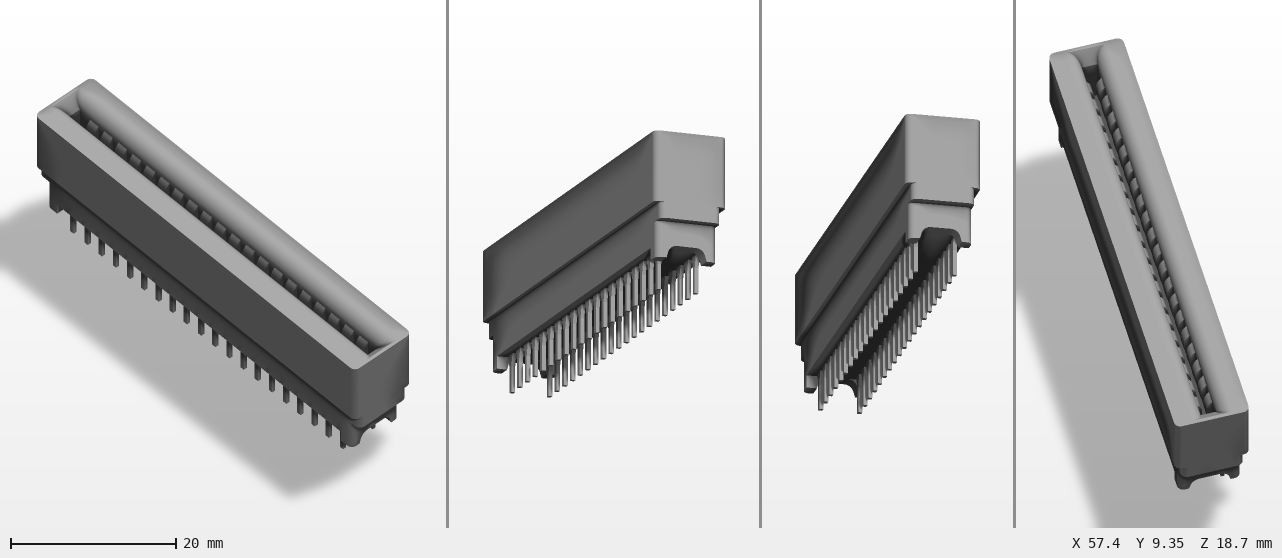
import cadquery as cq
import math


length = 57.4
width = 9.35
overall_height = 18.67
shoulder_depth = 8.86
end_step_depth = 10.92
underside_depth = 13.88
leg_depth = 15.45

lower_width = 7.85
base_end_inset = 1.4
corner_radius = 0.8
leg_end_inset = 3.3

arch_top_width = 4.3
arch_foot_width = 5.2
arch_radius = 1.2

mouth_end_wall = 0.45
throat_end_wall = 2.0
mouth_width = 5.06
throat_width = 2.0
slot_depth = 8.0
lip_radius = (mouth_width - throat_width) / 2

contact_count = 20
pitch = 2.54
contact_width = 1.5
contact_reach = 0.72
contact_top_depth = 1.95
contact_radius = 2.2
contact_length = 2.5
contact_embed = 0.7
row_spacing = 4.85
tail_width = 0.6
tail_thickness = 0.5
tail_root_width = 1.4
tail_neck_depth = 15.5
tail_embed = 0.5

top_z = leg_depth
shoulder_z = top_z - shoulder_depth
end_step_z = top_z - end_step_depth
underside_z = top_z - underside_depth
throat_z = top_z - lip_radius
slot_floor_z = top_z - slot_depth
tail_tip_z = top_z - overall_height
tail_neck_z = top_z - tail_neck_depth
contact_top_z = top_z - contact_top_depth
contact_bottom_z = contact_top_z - contact_length

contact_bulge_height = math.sqrt(contact_radius**2 - (contact_radius - contact_reach) ** 2)

base_length = length - 2 * base_end_inset
contact_x = [(i - (contact_count - 1) / 2) * pitch for i in range(contact_count)]


def rounded_block(size_x, size_y, bottom, top):
    """Upright block with rounded vertical corners."""
    block = cq.Workplane("XY").workplane(offset=bottom).rect(size_x, size_y).extrude(top - bottom)
    return block.edges("|Z").fillet(corner_radius)


def housing_body():
    """Upper block, narrower skirt, and a shorter base that includes the end legs."""
    upper = rounded_block(length, width, shoulder_z, top_z)
    skirt = rounded_block(length, lower_width, end_step_z, top_z)
    base = rounded_block(base_length, lower_width, 0, top_z)
    return upper.union(skirt).union(base)


def leg_gaps():
    """Space under the housing between the end legs, and the arch through both legs."""
    span = length - 2 * leg_end_inset
    between_legs = cq.Workplane("XY").rect(span, width).extrude(underside_z)
    arch = (
        cq.Workplane("YZ")
        .moveTo(-arch_foot_width / 2, 0)
        .lineTo(-arch_top_width / 2, underside_z)
        .lineTo(arch_top_width / 2, underside_z)
        .lineTo(arch_foot_width / 2, 0)
        .close()
        .extrude(length / 2, both=True)
        .edges("|X and >Z")
        .fillet(arch_radius)
    )
    return between_legs.union(arch)


def card_slot():
    """Straight throat opening upward through convex side lips and sloped ends."""
    mouth_half_length = length / 2 - mouth_end_wall
    throat_half_length = length / 2 - throat_end_wall
    lip = (
        cq.Workplane("YZ")
        .moveTo(-throat_width / 2, throat_z)
        .radiusArc((-mouth_width / 2, top_z), -lip_radius)
        .lineTo(mouth_width / 2, top_z)
        .radiusArc((throat_width / 2, throat_z), -lip_radius)
        .close()
        .extrude(length / 2, both=True)
    )
    ends = (
        cq.Workplane("XZ")
        .moveTo(-throat_half_length, throat_z)
        .lineTo(-mouth_half_length, top_z)
        .lineTo(mouth_half_length, top_z)
        .lineTo(throat_half_length, throat_z)
        .close()
        .extrude(width / 2, both=True)
    )
    throat = (
        cq.Workplane("XY")
        .workplane(offset=slot_floor_z)
        .rect(2 * throat_half_length, throat_width)
        .extrude(throat_z - slot_floor_z)
    )
    return lip.intersect(ends).union(throat)


def contact(x):
    """Rounded contact on the +Y throat wall, reaching toward the card."""
    wall_y = throat_width / 2
    tip_y = wall_y - contact_reach
    tip_z = contact_top_z - contact_bulge_height
    return (
        cq.Workplane("YZ")
        .workplane(offset=x - contact_width / 2)
        .moveTo(wall_y + contact_embed, contact_bottom_z)
        .lineTo(wall_y + contact_embed, contact_top_z)
        .lineTo(wall_y, contact_top_z)
        .radiusArc((tip_y, tip_z), -contact_radius)
        .lineTo(tip_y, contact_bottom_z)
        .close()
        .extrude(contact_width)
    )


def solder_tail(x):
    """Flat solder tail of the +Y row, tapering from a wide root."""
    row_y = row_spacing / 2
    root_z = underside_z + tail_embed
    return (
        cq.Workplane("XZ", origin=(x, row_y + tail_thickness / 2, 0))
        .moveTo(-tail_root_width / 2, root_z)
        .lineTo(tail_root_width / 2, root_z)
        .lineTo(tail_root_width / 2, underside_z)
        .lineTo(tail_width / 2, tail_neck_z)
        .lineTo(tail_width / 2, tail_tip_z)
        .lineTo(-tail_width / 2, tail_tip_z)
        .lineTo(-tail_width / 2, tail_neck_z)
        .lineTo(-tail_root_width / 2, underside_z)
        .close()
        .extrude(tail_thickness)
    )


housing = housing_body().cut(leg_gaps()).cut(card_slot())

contact_parts = []
for x in contact_x:
    for part in (contact(x), solder_tail(x)):
        contact_parts += [part.val(), part.mirror("XZ").val()]

result = cq.Workplane(housing.val().fuse(*contact_parts))